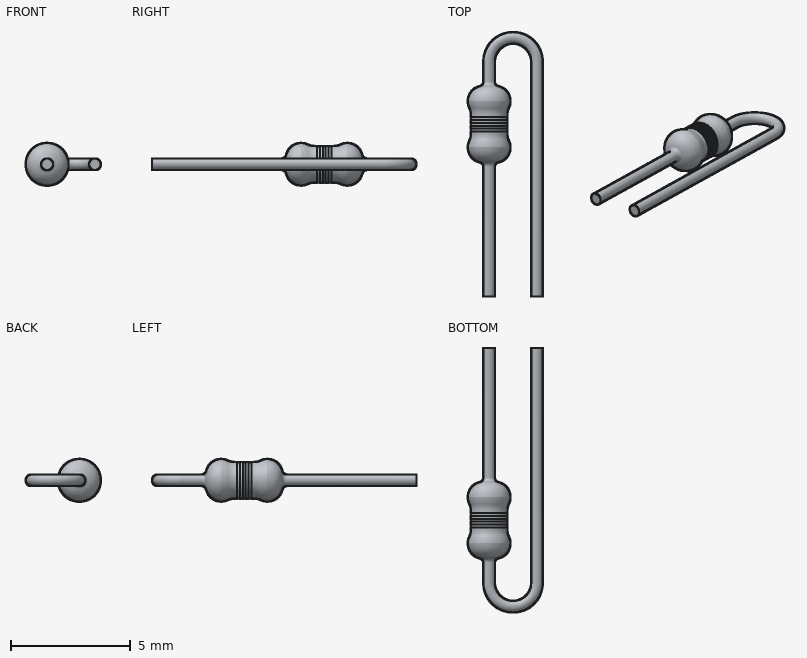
import cadquery as cq
import math


total_length = 11.05
wire_diameter = 0.5
lead_pitch = 2.0
bend_start_y = 2.61

wire_radius = wire_diameter / 2
bend_radius = lead_pitch / 2
lead_tip_y = bend_start_y + bend_radius + wire_radius - total_length

cap_radius = 1.8 / 2
core_radius = 1.55 / 2
groove_radius = 1.52 / 2
cap_center_y = 0.96
neck_y = 0.43
body_end_y = 1.77

groove_count = 3
groove_width = 2 * neck_y / (2 * groove_count + 1)


def end_cap_outline():
    """Radius and Y points of the tangent arcs from the core to the wire."""
    neck_length = cap_center_y - neck_y
    neck_rise = cap_radius - core_radius
    neck_arc_radius = (neck_length**2 + neck_rise**2) / (4 * neck_rise)
    half_angle = math.asin(neck_length / (2 * neck_arc_radius)) / 2
    half_sagitta = neck_arc_radius * (1 - math.cos(half_angle))
    half_run = neck_arc_radius * math.sin(half_angle)
    neck_middle = (core_radius + half_sagitta, neck_y + half_run)
    neck_joint = (core_radius + neck_rise / 2, neck_y + neck_length / 2)
    shoulder_middle = (cap_radius - half_sagitta, cap_center_y - half_run)

    dome_radius = cap_radius - wire_radius
    dome_length = body_end_y - cap_center_y
    fillet_radius = (dome_length**2 - dome_radius**2) / (2 * dome_radius)
    joint_angle = math.asin(dome_length / (dome_radius + fillet_radius))

    def dome_point(angle):
        return (wire_radius + dome_radius * math.cos(angle),
                cap_center_y + dome_radius * math.sin(angle))

    def fillet_point(angle):
        return (wire_radius + fillet_radius * (1 - math.cos(angle)),
                body_end_y - fillet_radius * math.sin(angle))

    return [
        (neck_middle, neck_joint),
        (shoulder_middle, (cap_radius, cap_center_y)),
        (dome_point(joint_angle / 2), dome_point(joint_angle)),
        (fillet_point(joint_angle / 2), (wire_radius, body_end_y)),
    ]


def make_half_body():
    """Half of the body on the +Y side of the origin."""
    profile = cq.Workplane("XY").lineTo(core_radius, 0).lineTo(core_radius, neck_y)
    for middle, end in end_cap_outline():
        profile = profile.threePointArc(middle, end)
    profile = profile.lineTo(0, body_end_y).close()
    return profile.revolve(360, (0, 0, 0), (0, 1, 0))


def make_groove_cutter(start_y):
    """Ring that removes the core surface down to the groove floor."""
    return (
        cq.Workplane("XZ", origin=(0, start_y, 0))
        .circle(cap_radius)
        .circle(groove_radius)
        .extrude(-groove_width)
    )


def make_lead():
    """Wire through the body, around the bend and back to the level of its tip."""
    path = (
        cq.Workplane("XY")
        .moveTo(0, lead_tip_y)
        .lineTo(0, bend_start_y)
        .threePointArc((bend_radius, bend_start_y + bend_radius), (lead_pitch, bend_start_y))
        .lineTo(lead_pitch, lead_tip_y)
    )
    return cq.Workplane("XZ", origin=(0, lead_tip_y, 0)).circle(wire_radius).sweep(path)


half_body = make_half_body()
result = half_body.union(half_body.mirror("XZ"))
for index in range(groove_count):
    result = result.cut(make_groove_cutter(-neck_y + (2 * index + 1) * groove_width))
result = result.union(make_lead())